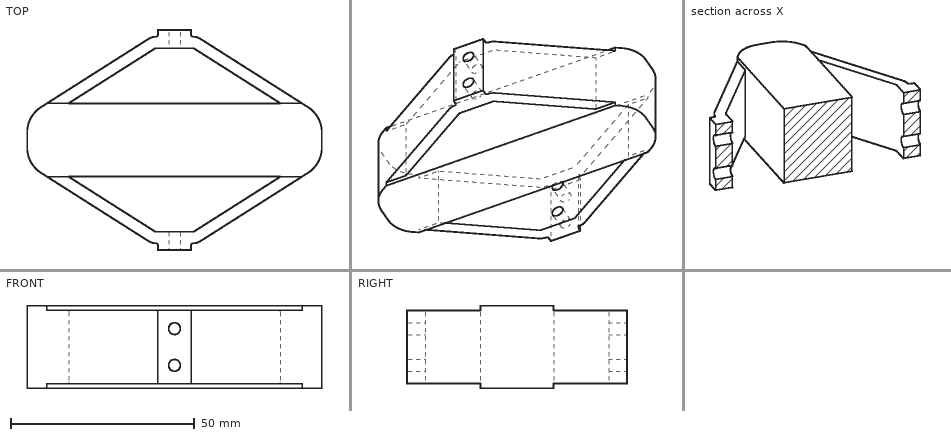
import math

import cadquery as cq

body_length = 80.41
body_width = 20.0
body_height = 22.5
body_corner_radius = 8.2

frame_height = 20.0
wall_angle = 32.4
wall_thickness = 3.2
inner_flat_half_length = 5.2
inner_flat_y = 25.0

pad_length = 9.0
pad_face_y = 30.0
pad_root_radius = 0.5

hole_diameter = 3.2
hole_spacing = 10.0

wall_slope = math.tan(math.radians(wall_angle))
half_wall_angle = math.radians(wall_angle / 2)
outer_flat_y = inner_flat_y + wall_thickness
outer_flat_half_length = inner_flat_half_length + wall_thickness * math.tan(half_wall_angle)
pad_root_x = pad_length / 2 + pad_root_radius
shoulder_radius = (outer_flat_half_length - pad_root_x) / math.tan(half_wall_angle)
inner_corner_radius = shoulder_radius - wall_thickness
inner_tip_x = inner_flat_half_length + inner_flat_y / wall_slope


def make_envelope(height):
    """Solid bounded by the outer outline, with rounded ends and shoulders."""
    end_x = body_length / 2
    end_half_width = outer_flat_y - (end_x - outer_flat_half_length) * wall_slope
    quarter = [(end_x, end_half_width), (outer_flat_half_length, outer_flat_y)]
    upper_half = quarter + [(-x, y) for x, y in reversed(quarter)]
    outline = upper_half + [(-x, -y) for x, y in upper_half]
    envelope = cq.Workplane("XY").polyline(outline).close().extrude(height / 2, both=True)
    envelope = envelope.edges("|Z and (>X or <X)").fillet(body_corner_radius)
    return envelope.edges("|Z and (>Y or <Y)").fillet(shoulder_radius)


def make_body():
    """Full-height bar cut from the envelope by the two body side planes."""
    slab = cq.Workplane("XY").box(body_length, body_width, body_height)
    return make_envelope(body_height).intersect(slab)


def make_pads():
    """Pair of pads on the flats, each flaring into the frame with a concave root."""
    half_pad = pad_length / 2
    root_top_y = outer_flat_y + pad_root_radius
    pad_outline = (
        cq.Workplane("XY")
        .workplane(offset=-frame_height / 2)
        .moveTo(-pad_root_x, 0)
        .lineTo(-pad_root_x, outer_flat_y)
        .radiusArc((-half_pad, root_top_y), -pad_root_radius)
        .lineTo(-half_pad, pad_face_y)
        .lineTo(half_pad, pad_face_y)
        .lineTo(half_pad, root_top_y)
        .radiusArc((pad_root_x, outer_flat_y), -pad_root_radius)
        .lineTo(pad_root_x, 0)
        .close()
    )
    pad = pad_outline.extrude(frame_height)
    return pad.union(pad.mirror("XZ"))


def make_opening():
    """Hexagonal prism inside the frame, rounded at the corners of its flats."""
    upper_half = [
        (inner_tip_x, 0),
        (inner_flat_half_length, inner_flat_y),
        (-inner_flat_half_length, inner_flat_y),
    ]
    outline = upper_half + [(-x, -y) for x, y in upper_half]
    opening = cq.Workplane("XY").polyline(outline).close().extrude(frame_height / 2, both=True)
    return opening.edges("|Z and (>Y or <Y)").fillet(inner_corner_radius)


def make_frame():
    """Diamond ring with a pad on each flat."""
    return make_envelope(frame_height).union(make_pads()).cut(make_opening())


def drill_holes(frame):
    """Drill two screw holes through both pads."""
    drills = (
        cq.Workplane("XZ")
        .pushPoints([(0, -hole_spacing / 2), (0, hole_spacing / 2)])
        .circle(hole_diameter / 2)
        .extrude(pad_face_y, both=True)
    )
    return frame.cut(drills)


result = drill_holes(make_frame()).union(make_body())